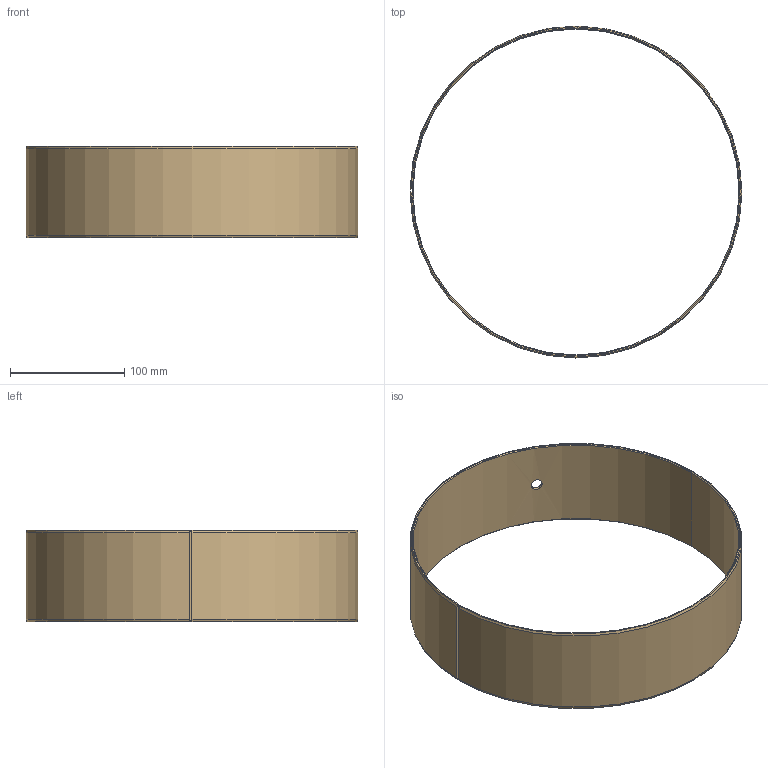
import cadquery as cq
import math

outer_diameter = 290.0
height = 80.0
wall = 2.5

outer_bevel_height = 2.0
outer_bevel_angle = 20.0
inner_chamfer = 0.75

slit_width = 2.4

hole_diameter = 10.0
hole_angle = 59.0

outer_radius = outer_diameter / 2
inner_radius = outer_radius - wall
half_height = height / 2
outer_bevel_depth = outer_bevel_height * math.tan(math.radians(outer_bevel_angle))


def make_band():
    """Revolve the wall section, bevelled at its four corners, about Z."""
    upper_half = [
        (outer_radius, half_height - outer_bevel_height),
        (outer_radius - outer_bevel_depth, half_height),
        (inner_radius + inner_chamfer, half_height),
        (inner_radius, half_height - inner_chamfer),
    ]
    lower_half = [(radius, -z) for radius, z in reversed(upper_half)]
    section = cq.Workplane("XZ").polyline(upper_half + lower_half).close()
    return section.revolve(360, (0, 0, 0), (0, 1, 0))


def make_slit():
    """Block that cuts through the wall over the full height."""
    slit = cq.Workplane("XY").box(2 * wall, slit_width, height)
    return slit.translate((-outer_radius, slit_width / 2, 0))


def make_hole():
    """Radial cylinder from the ring axis out past the wall."""
    cylinder = cq.Workplane("YZ").circle(hole_diameter / 2).extrude(outer_radius + wall)
    return cylinder.rotate((0, 0, 0), (0, 0, 1), hole_angle)


result = make_band().cut(make_slit()).cut(make_hole())